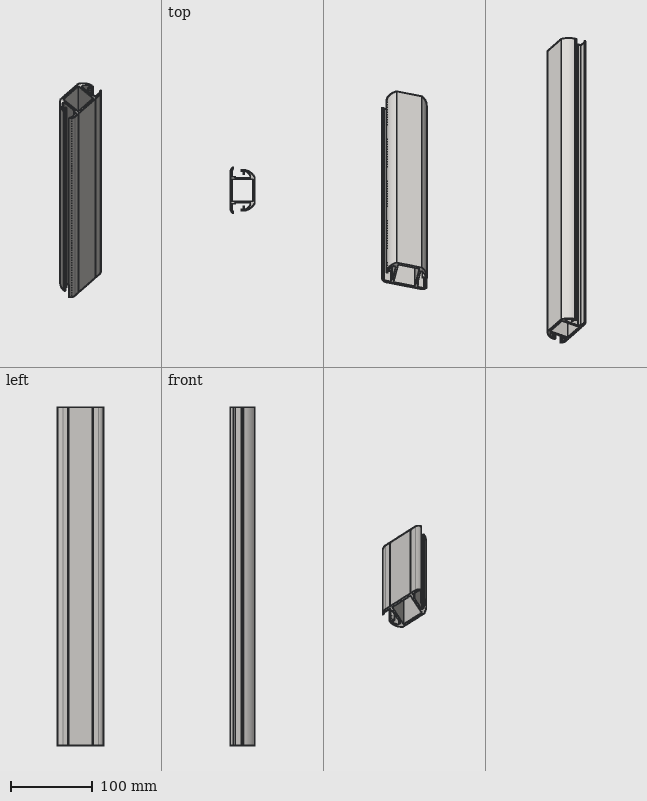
import cadquery as cq

length = 413.0
width = 30.0
flange_height = 56.0
left = -width / 2
right = width / 2
flange_tip = flange_height / 2

wall = 2.5
web_thickness = 2.27
cavity_half = 13.2
web_outer = cavity_half + web_thickness
arm_corner_y = 15.5

flange_bend_y = 21.5
tip_depth = 3.7
tip_edge = 2.0

pad_length = 6.0
pad_height = 1.2

lip_x = left + 13.5
lip_length = 3.7
lip_top = 25.0
lip_thickness = 1.05
hook_width = 1.0
hook_drop = 2.0
leg_width = 1.2
leg_drop = 5.8
arm_outer_mid = (left + 23.5, 22.7)
arm_inner_mid = (left + 22.0, 21.0)
arm_inner_end = (left + 24.5, 17.8)
arm_start_thickness = 1.5

groove_y = 15.0
groove_width = 1.2
groove_depth = 0.6


def extrude(outline):
    return outline.close().extrude(length / 2, both=True)


def box(x_start, x_end, y_start, y_end):
    return extrude(
        cq.Workplane("XY")
        .moveTo(x_start, y_start)
        .lineTo(x_end, y_start)
        .lineTo(x_end, y_end)
        .lineTo(x_start, y_end)
    )


def tube():
    """Closed box with a rectangular cavity."""
    outside = box(left, right, -web_outer, web_outer)
    cavity = box(left + wall, right - wall, -cavity_half, cavity_half)
    return outside.cut(cavity)


def flange_wing():
    """Upper flange half, bending inward along a tangent arc."""
    tip_x = left + tip_depth
    inner_x = left + wall
    return extrude(
        cq.Workplane("XY")
        .moveTo(left, 0)
        .lineTo(left, flange_bend_y)
        .tangentArcPoint((tip_x, flange_tip), relative=False)
        .lineTo(tip_x, flange_tip - tip_edge)
        .lineTo(inner_x, flange_tip - tip_edge - (tip_depth - wall))
        .lineTo(inner_x, 0)
    )


def web_pad():
    return box(left, left + pad_length, cavity_half, web_outer + pad_height)


def hooked_arm():
    """Curved arm from the tube corner to a lip with a hook and a leg."""
    lip_end = lip_x + lip_length
    leg_x = lip_end - leg_width
    lip_bottom = lip_top - lip_thickness
    return extrude(
        cq.Workplane("XY")
        .moveTo(lip_x, lip_top)
        .lineTo(lip_end, lip_top)
        .threePointArc(arm_outer_mid, (right, arm_corner_y))
        .lineTo(right, cavity_half)
        .lineTo(arm_inner_end[0], cavity_half)
        .lineTo(*arm_inner_end)
        .threePointArc(arm_inner_mid, (lip_end, lip_top - arm_start_thickness))
        .lineTo(lip_end, lip_top - leg_drop)
        .lineTo(leg_x, lip_top - leg_drop)
        .lineTo(leg_x, lip_bottom)
        .lineTo(lip_x + hook_width, lip_bottom)
        .lineTo(lip_x + hook_width, lip_top - hook_drop)
        .lineTo(lip_x, lip_top - hook_drop)
    )


def marking_groove():
    return extrude(
        cq.Workplane("XY")
        .moveTo(left, groove_y - groove_width / 2)
        .lineTo(left + groove_depth, groove_y)
        .lineTo(left, groove_y + groove_width / 2)
    )


result = tube()
for feature in (flange_wing(), web_pad(), hooked_arm()):
    result = result.union(feature).union(feature.mirror("XZ"))

groove = marking_groove()
result = result.cut(groove).cut(groove.mirror("XZ"))